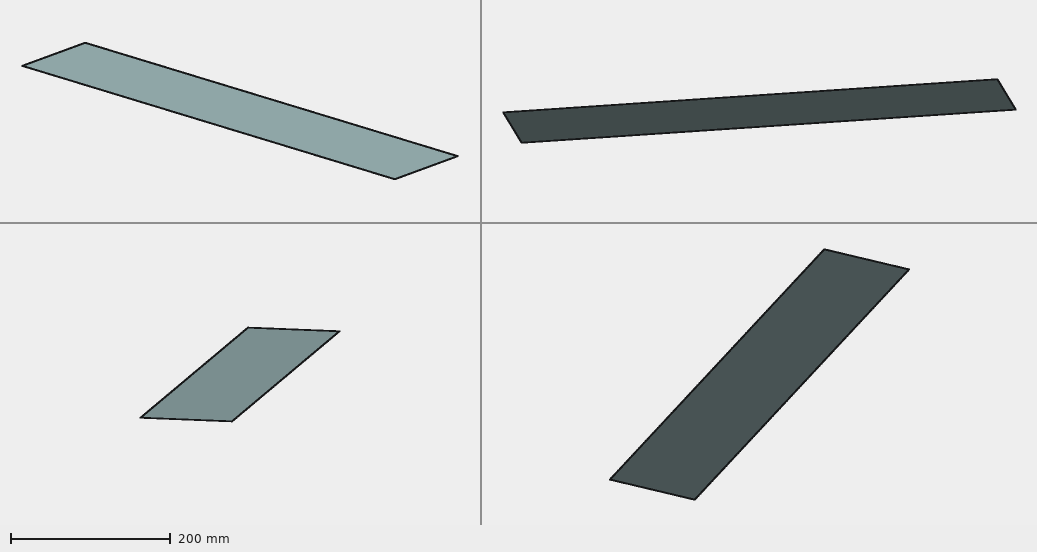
import cadquery as cq

length = 632.0
width = 117.5
thickness = 0.1

result = cq.Workplane("XY").box(length, width, thickness)